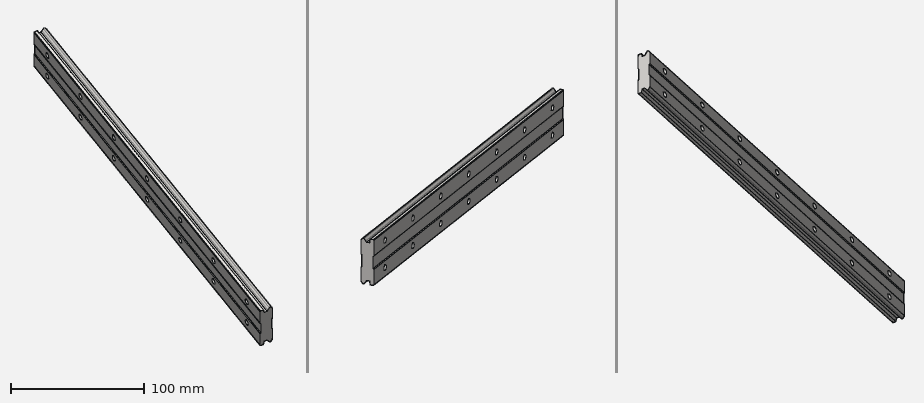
import cadquery as cq

length = 340.0
thickness = 11.0
height = 37.0

half_thickness = thickness / 2
half_height = height / 2

waist_depth = 0.7
waist_half_height = 5.5
waist_slope_height = 0.7

lip_corner = 0.5
lip_width = 3.0

groove_depth = 3.0
groove_wall_lean = 0.7
groove_floor_width = 2.5

ridge_width = 4.0
ridge_height = 2.0
ridge_tip_width = 1.5
ridge_tip_rise = 0.5

hole_diameter = 4.5
hole_pitch = 50.0
hole_columns = 7
hole_row_spacing = 22.0

waist_y = half_thickness - waist_depth
waist_floor_half_height = waist_half_height - waist_slope_height

lip_back_y = -half_thickness + lip_width
floor_front_y = lip_back_y + groove_wall_lean
floor_back_y = floor_front_y + groove_floor_width
floor_z = half_height - groove_depth
ridge_foot_y = half_thickness - ridge_width
ridge_foot_z = half_height - ridge_height
ridge_tip_y = half_thickness - ridge_width / 2

ridge_tip_front_y = ridge_tip_y - ridge_tip_width / 2
ridge_tip_back_y = ridge_tip_y + ridge_tip_width / 2
ridge_shoulder_z = half_height - ridge_tip_rise

upper_half = (
    cq.Workplane("YZ")
    .moveTo(-waist_y, 0)
    .lineTo(-waist_y, waist_floor_half_height)
    .lineTo(-half_thickness, waist_half_height)
    .lineTo(-half_thickness, half_height - lip_corner)
    .lineTo(-half_thickness + lip_corner, half_height)
    .lineTo(lip_back_y, half_height)
    .lineTo(floor_front_y, floor_z)
    .lineTo(floor_back_y, floor_z)
    .lineTo(ridge_foot_y, ridge_foot_z)
    .lineTo(ridge_tip_front_y, ridge_shoulder_z)
    .threePointArc((ridge_tip_y, half_height), (ridge_tip_back_y, ridge_shoulder_z))
    .lineTo(half_thickness, ridge_foot_z)
    .lineTo(half_thickness, waist_half_height)
    .lineTo(waist_y, waist_floor_half_height)
    .lineTo(waist_y, 0)
    .close()
    .extrude(length / 2, both=True)
)
rail = upper_half.union(upper_half.mirror("XY")).clean()

holes = (
    cq.Workplane("XZ")
    .rarray(hole_pitch, hole_row_spacing, hole_columns, 2)
    .circle(hole_diameter / 2)
    .extrude(thickness, both=True)
)

result = rail.cut(holes)